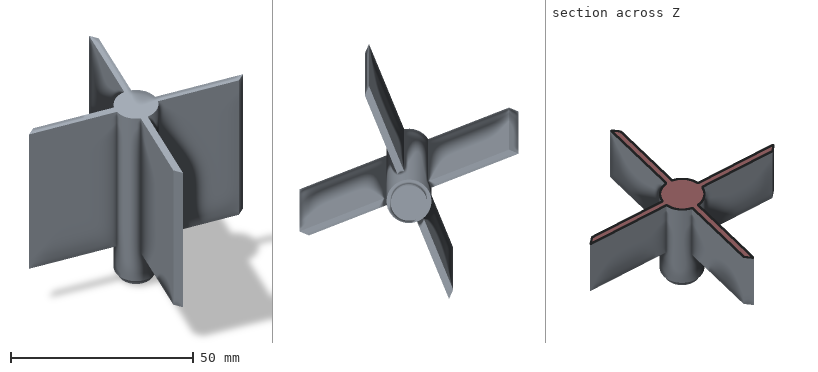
import cadquery as cq

span = 64.0
total_height = 60.0
blade_height = 48.0
blade_thickness = 2.05
tip_bevel = blade_thickness
hub_diameter = 12.3
stub_diameter = 10.0
stub_length = 2.0
blade_count = 4


def make_shaft():
    """Round hub standing on a shorter, narrower locating stub."""
    stub = cq.Workplane("XY").circle(stub_diameter / 2).extrude(stub_length)
    return stub.faces(">Z").workplane().circle(hub_diameter / 2).extrude(total_height - stub_length)


def make_blade():
    """Radial blade along +X, bevelled at the tip so its +Y face is longer."""
    tip = span / 2
    half_thickness = blade_thickness / 2
    outline = [
        (0, -half_thickness),
        (tip - tip_bevel, -half_thickness),
        (tip, half_thickness),
        (0, half_thickness),
    ]
    blade_bottom = total_height - blade_height
    return cq.Workplane("XY").workplane(offset=blade_bottom).polyline(outline).close().extrude(blade_height)


result = make_shaft()
blade = make_blade()
for index in range(blade_count):
    angle = index * 360 / blade_count
    result = result.union(blade.rotate((0, 0, 0), (0, 0, 1), angle))